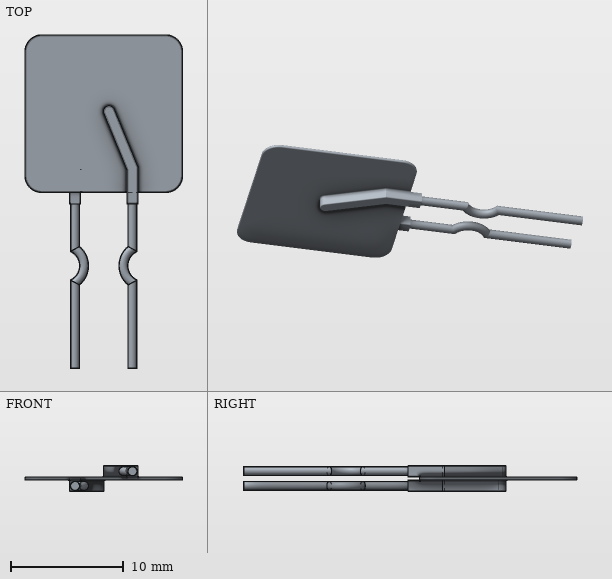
import cadquery as cq
import math

plate_side = 14.0
plate_thickness = 0.3
plate_corner_radius = 1.5

overall_length = 29.6
overall_height = 2.3

coating_size = (overall_height - plate_thickness) / 2
coating_overhang = 1.0
tip_x = 0.47
tip_y = 0.2
elbow_y = -4.85
edge_radius = 0.1

wire_diameter = 0.8
lead_x = 2.55
kink_centre_y = -13.5
kink_length = 3.0
kink_depth = 0.8

plate_edge_y = -plate_side / 2
coating_end_y = plate_edge_y - coating_overhang
wire_end_y = plate_side / 2 - overall_length
lead_z = (plate_thickness + coating_size) / 2
solder_z = plate_thickness / 2


def make_plate():
    """Thin square plate with rounded corners and softened rims."""
    blank = cq.Workplane("XY").box(plate_side, plate_side, plate_thickness)
    return blank.edges("|Z").fillet(plate_corner_radius).faces("|Z").edges().fillet(edge_radius)


def coating_outline():
    """Elbowed strip with a round tip, seen along Z."""
    half = coating_size / 2
    run_x = tip_x - lead_x
    run_y = tip_y - elbow_y
    run = math.hypot(run_x, run_y)
    along_x, along_y = run_x / run, run_y / run
    miter_shift = half * math.tan(math.atan2(-run_x, run_y) / 2)
    side_x, side_y = half * along_y, -half * along_x
    return (
        cq.Workplane("XY")
        .moveTo(lead_x - half, coating_end_y)
        .lineTo(lead_x + half, coating_end_y)
        .lineTo(lead_x + half, elbow_y + miter_shift)
        .lineTo(tip_x + side_x, tip_y + side_y)
        .threePointArc(
            (tip_x + half * along_x, tip_y + half * along_y),
            (tip_x - side_x, tip_y - side_y),
        )
        .lineTo(lead_x - half, elbow_y - miter_shift)
        .close()
    )


def make_coating():
    """Square-section coating on the upper face of the plate, rounded except at its lower end edge."""
    strip = coating_outline().extrude(coating_size)
    strip = strip.edges(">Z or (<Z and (not <Y))").fillet(edge_radius)
    return strip.translate((0, 0, solder_z))


def make_solder_foot():
    """Foot of the coating, flaring in a concave fillet onto the flat face of the plate."""
    slab = cq.Workplane("XY").box(plate_side, plate_side, plate_thickness)
    strip = coating_outline().extrude(coating_size).translate((0, 0, solder_z))
    flat_side = plate_side - 2 * edge_radius
    foot_zone = (
        cq.Workplane("XY")
        .box(flat_side, flat_side, edge_radius, centered=(True, True, False))
        .translate((0, 0, solder_z))
    )
    junction = cq.selectors.BoxSelector(
        (tip_x - coating_size, plate_edge_y + edge_radius, solder_z - edge_radius / 2),
        (lead_x + coating_size, tip_y + coating_size, solder_z + edge_radius / 2),
    )
    return slab.union(strip).edges(junction).fillet(edge_radius).intersect(foot_zone)


def make_rim_filler():
    """Block under the coating that squares off the rounded plate rim where the lead crosses it."""
    rim = cq.Workplane("XY", origin=(lead_x, plate_edge_y, 0))
    return rim.box(coating_size, edge_radius, solder_z + edge_radius, centered=(True, False, False))


def make_wire():
    """Round wire from inside the coating to its free end, with mitred joints at the kink."""
    wire_radius = wire_diameter / 2
    half_length = kink_length / 2
    arc_radius = (half_length**2 + kink_depth**2) / (2 * kink_depth)
    miter_slope = math.tan(math.asin(half_length / arc_radius) / 2)

    straight = (
        cq.Workplane("XZ", origin=(lead_x, plate_edge_y, lead_z))
        .circle(wire_radius)
        .extrude(plate_edge_y - wire_end_y)
    )
    ring = cq.Workplane("XY").add(
        cq.Solid.makeTorus(
            arc_radius,
            wire_radius,
            cq.Vector(lead_x - kink_depth + arc_radius, kink_centre_y, lead_z),
        )
    )

    inner_reach = kink_depth + wire_diameter
    outer_reach = wire_diameter
    inner_half = half_length + inner_reach * miter_slope
    outer_half = half_length - outer_reach * miter_slope
    kink_zone = (
        cq.Workplane("XY", origin=(lead_x, kink_centre_y, lead_z))
        .polyline(
            [
                (-inner_reach, inner_half),
                (outer_reach, outer_half),
                (outer_reach, -outer_half),
                (-inner_reach, -inner_half),
            ]
        )
        .close()
        .extrude(wire_diameter, both=True)
    )
    return straight.cut(kink_zone).union(ring.intersect(kink_zone))


plate = make_plate()
lead = make_coating().union(make_solder_foot()).union(make_rim_filler()).union(make_wire())
opposite_lead = lead.rotate((0, 0, 0), (0, 1, 0), 180)
result = plate.union(lead).union(opposite_lead)